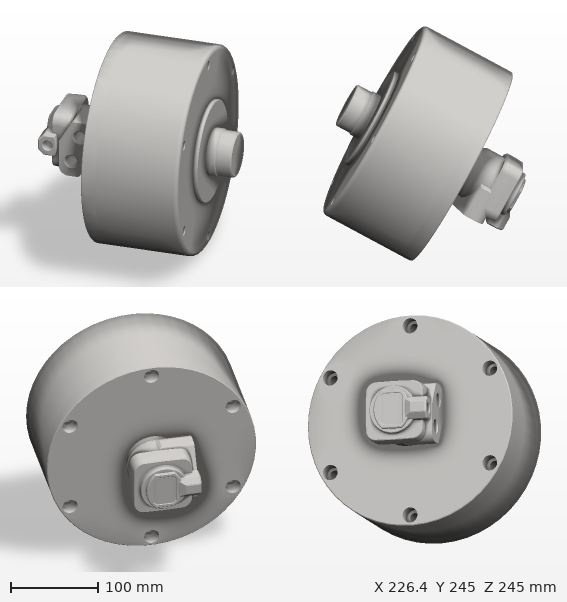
import cadquery as cq
import math


outer_radius = 122.5
cover_thickness = 17.2
cover_chamfer = 1.0
body_end = 115.2
body_edge_radius = 5.0
flange_radius = 60.0
flange_height = 5.1
flange_chamfer = 1.0

bolt_count = 6
bolt_circle_radius = 110.2
bolt_radius = 5.5
bolt_head_radius = 8.8

rod_base_radius = 28.0
rod_base_length = 11.5
rod_step_chamfer = 1.5
rod_tip_radius = 26.5
rod_end = 150.2
rod_tip_chamfer = 1.5

neck_radius = 12.7
neck_length = 1.5
rotor_radius = 30.5
sleeve_end = -11.8
rotor_chamfer = 2.7

sleeve_radius = 32.5
cone_start = -15.2

cap_front = -61.7
cap_parting = -52.0
cap_back = -38.2
cap_half = 35.0
cap_side_bulge = 1.0
cap_corner_radius = 12.2
cap_draft = 0.7
cap_back_chamfer = 2.5
cap_front_chamfer = 0.7

ring_front = -68.5
ring_radius = 27.5
ring_chamfer = 0.7
plate_front = -72.0
plate_flat_half_width = 11.5
plate_half_height = 22.5
plate_half_width = 21.5
plate_chamfer = 1.0
ring_foot_flare = 1.0
badge_half_width = 13.7
badge_half_height = 18.9
badge_corner = 3.7
badge_depth = 0.7
badge_wall_angle = 45.0

port_face = -42.1
block_center_x = -30.9
block_half_width = 19.8
block_half_height = 35.0
block_arc_radius = 11.0
block_corner_z = 7.8
block_slant_angle = 60.0
block_corner_radius = 5.5
block_back_flat = 4.5
block_back_drop = 3.0
port_radius = 8.5
port_chamfer = 1.0
port_depth = 19.5
port_offset_x = 5.1
port_offset_z = 16.2
drill_point_angle = 118.0

arm_front = -76.2
arm_half_height = 13.0
arm_front_half_height = 6.1
arm_back_edge = -56.0
arm_back_bulge = 2.5
arm_root = -16.2
arm_slope_start = -23.8
arm_end_chamfer = 1.5
arm_long_chamfer = 0.7
drain_x = -64.5
drain_radius = 6.5
drain_depth = 14.7


def x_cylinder(radius, start, end):
    """Solid cylinder on the X axis between two X positions."""
    return cq.Workplane("YZ", origin=(start, 0, 0)).circle(radius).extrude(end - start)


def bolt_holes(radius, start, end):
    """Ring of drilled cylinders, the first one straight up."""
    holes = cq.Workplane("YZ", origin=(start, 0, 0))
    return (
        holes.polarArray(bolt_circle_radius, 90, 360, bolt_count)
        .circle(radius)
        .extrude(end - start)
    )


def make_cover():
    """Round cover with openings that take the bolt heads."""
    cover = x_cylinder(outer_radius, 0, cover_thickness).faces("<X").chamfer(cover_chamfer)
    return cover.cut(bolt_holes(bolt_head_radius, 0, cover_thickness))


def make_cylinder():
    """Main drum with a rounded far edge, a raised flange and bolt holes right through."""
    drum = x_cylinder(outer_radius, cover_thickness, body_end)
    drum = drum.faces(">X").edges().fillet(body_edge_radius)
    flange = x_cylinder(flange_radius, body_end, body_end + flange_height)
    drum = drum.union(flange.faces(">X").chamfer(flange_chamfer))
    return drum.cut(bolt_holes(bolt_radius, cover_thickness, body_end))


def make_rod():
    """Stepped rod seated on the flange."""
    seat = body_end + flange_height
    step = seat + rod_base_length
    base = x_cylinder(rod_base_radius, seat, step).faces(">X").chamfer(rod_step_chamfer)
    tip = x_cylinder(rod_tip_radius, step, rod_end).faces(">X").chamfer(rod_tip_chamfer)
    return base.union(tip)


def make_rotor():
    """Collar with a short neck that meets the cover."""
    collar = x_cylinder(rotor_radius, sleeve_end, -neck_length).faces(">X").chamfer(rotor_chamfer)
    return collar.union(x_cylinder(neck_radius, -neck_length, 0))


def drilled_port(x, z, radius, depth):
    """Blind hole along Y with a chamfered mouth and a drill-point bottom."""
    point_depth = radius / math.tan(math.radians(drill_point_angle / 2))
    profile = (
        cq.Workplane("XY")
        .moveTo(0, 0)
        .lineTo(radius, 0)
        .lineTo(radius - port_chamfer, port_chamfer)
        .lineTo(radius - port_chamfer, depth)
        .lineTo(0, depth + point_depth)
        .close()
    )
    return profile.revolve(360, (0, 0, 0), (0, 1, 0)).translate((x, port_face, z))


def bulged_square(x, half, length):
    """Prism along X from a rounded square with slightly bulging sides."""
    corner = half - cap_side_bulge
    prism = (
        cq.Workplane("YZ", origin=(x, 0, 0))
        .moveTo(-corner, -corner)
        .threePointArc((0, -half), (corner, -corner))
        .threePointArc((half, 0), (corner, corner))
        .threePointArc((0, half), (-corner, corner))
        .threePointArc((-half, 0), (-corner, -corner))
        .close()
        .extrude(length)
    )
    return prism.edges("|X").fillet(cap_corner_radius)


def make_cap():
    """Square cast cap, drafted in front of its parting line and chamfered at both ends."""
    straight_length = cap_back - cap_parting
    draft_length = cap_parting - cap_front
    straight = bulged_square(cap_parting, cap_half, straight_length)
    front = bulged_square(cap_front, cap_half - cap_draft, draft_length)
    parting_wire = straight.faces("<X").wires().val()
    front_wire = front.faces("<X").wires().val()
    drafted = cq.Workplane(cq.Solid.makeLoft([front_wire, parting_wire], True))
    drafted = drafted.faces("<X").chamfer(cap_front_chamfer)
    return drafted.union(straight.faces(">X").chamfer(cap_back_chamfer))


def make_sleeve():
    """Round sleeve that narrows to the rotor diameter."""
    profile = (
        cq.Workplane("XZ")
        .moveTo(cap_back, 0)
        .lineTo(cap_back, sleeve_radius)
        .lineTo(cone_start, sleeve_radius)
        .lineTo(sleeve_end, rotor_radius)
        .lineTo(sleeve_end, 0)
        .close()
    )
    return profile.revolve(360, (0, 0, 0), (1, 0, 0))


def make_plate():
    """Plate with flat top and bottom, bowed sides and a softened front edge."""
    plate = (
        cq.Workplane("YZ", origin=(plate_front, 0, 0))
        .moveTo(-plate_flat_half_width, plate_half_height)
        .lineTo(plate_flat_half_width, plate_half_height)
        .threePointArc((plate_half_width, 0), (plate_flat_half_width, -plate_half_height))
        .lineTo(-plate_flat_half_width, -plate_half_height)
        .threePointArc((-plate_half_width, 0), (-plate_flat_half_width, plate_half_height))
        .close()
        .extrude(ring_front - plate_front)
    )
    return plate.faces("<X").chamfer(plate_chamfer)


def make_end_plate():
    """Ring with a flared foot on the cap, carrying the plate with a shallow badge recess."""
    ring = (
        cq.Workplane("XZ")
        .moveTo(ring_front, 0)
        .lineTo(ring_front, ring_radius - ring_chamfer)
        .lineTo(ring_front + ring_chamfer, ring_radius)
        .lineTo(cap_front - ring_foot_flare, ring_radius)
        .lineTo(cap_front, ring_radius + ring_foot_flare)
        .lineTo(cap_front, 0)
        .close()
        .revolve(360, (0, 0, 0), (1, 0, 0))
    )
    badge_outline = (
        cq.Sketch()
        .rect(2 * badge_half_width, 2 * badge_half_height)
        .vertices()
        .chamfer(badge_corner)
    )
    badge = (
        cq.Workplane("YZ", origin=(plate_front, 0, 0))
        .placeSketch(badge_outline)
        .extrude(badge_depth, taper=badge_wall_angle)
    )
    return ring.union(make_plate()).cut(badge)


def make_port_block():
    """Skewed block on the sleeve whose face carries the two main ports."""
    slant_run = (block_half_height - block_corner_z) / math.tan(math.radians(block_slant_angle))
    slant_top = block_half_width - slant_run
    half_outline = [
        (-block_half_width, block_corner_z),
        (-slant_top, block_half_height),
        (block_half_width, block_half_height),
    ]
    outline = half_outline + [(-x, -z) for x, z in half_outline]
    block = (
        cq.Workplane("XZ", origin=(block_center_x, 0, 0))
        .polyline(outline)
        .close()
        .extrude(-port_face)
    )
    for side in (1, -1):
        corner = (block_center_x + side * block_half_width, port_face / 2, side * block_half_height)
        block = block.edges(cq.selectors.NearestToPointSelector(corner)).fillet(block_arc_radius)
        blunt = (block_center_x - side * slant_top, port_face / 2, side * block_half_height)
        block = block.edges(cq.selectors.NearestToPointSelector(blunt)).fillet(block_corner_radius)
    back_height = block_half_height - block_back_drop
    envelope = (
        cq.Workplane("YZ", origin=(block_center_x - block_half_width, 0, 0))
        .polyline([
            (port_face, block_half_height),
            (-block_back_flat, block_half_height),
            (0, back_height),
            (0, -back_height),
            (-block_back_flat, -block_half_height),
            (port_face, -block_half_height),
        ])
        .close()
        .extrude(2 * block_half_width)
    )
    return block.intersect(envelope)


def make_drain_arm():
    """Arm from the end plate to the port face, with a bevelled front and a sloped root."""
    bevel_end = arm_front + arm_half_height - arm_front_half_height
    arm = (
        cq.Workplane("XZ", origin=(0, arm_root, 0))
        .moveTo(bevel_end, arm_half_height)
        .lineTo(arm_back_edge, arm_half_height)
        .threePointArc((arm_back_edge + arm_back_bulge, 0), (arm_back_edge, -arm_half_height))
        .lineTo(bevel_end, -arm_half_height)
        .lineTo(arm_front, -arm_front_half_height)
        .lineTo(arm_front, arm_front_half_height)
        .close()
        .extrude(arm_root - port_face)
        .edges("|Y")
        .chamfer(arm_long_chamfer)
        .faces("<Y")
        .chamfer(arm_end_chamfer)
    )
    slope = (
        cq.Workplane("XY", origin=(0, 0, -arm_half_height))
        .moveTo(arm_front, arm_slope_start)
        .lineTo(plate_front, arm_root)
        .lineTo(arm_front, arm_root)
        .close()
        .extrude(2 * arm_half_height)
    )
    return arm.cut(slope)


def make_distributor():
    """Stationary housing that feeds the rotor."""
    housing = make_sleeve().union(make_cap()).union(make_end_plate())
    housing = housing.union(make_port_block()).union(make_drain_arm())
    for side in (1, -1):
        x = block_center_x + side * port_offset_x
        housing = housing.cut(drilled_port(x, side * port_offset_z, port_radius, port_depth))
    return housing.cut(drilled_port(drain_x, 0, drain_radius, drain_depth))


cover = make_cover()
cylinder = make_cylinder()
rod = make_rod()
rotor = make_rotor()
distributor = make_distributor()

result = cq.Compound.makeCompound(
    [cover.val(), cylinder.val(), rod.val(), rotor.val(), distributor.val()]
)